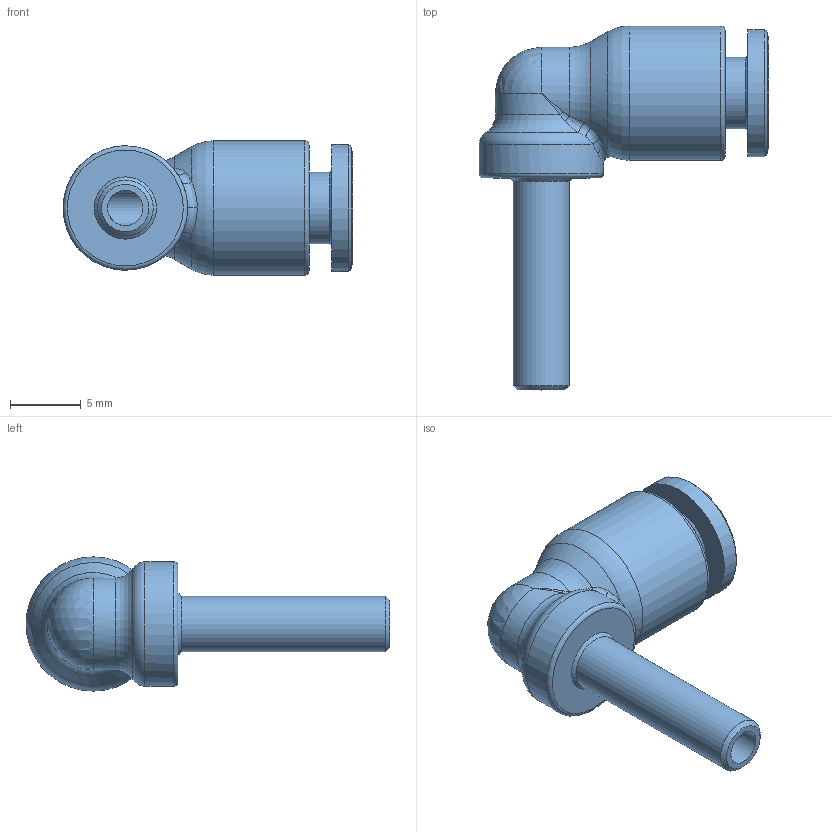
import cadquery as cq
import math


elbow_radius = 6.5 / 2

socket_radius = 9.5 / 2
socket_flare_start = 2.0
socket_flare_angle = math.radians(30)
socket_flare_bend = 3.0
socket_end = 13.0
socket_edge_round = 0.3

neck_radius = 5.05 / 2
neck_root_chamfer = 0.15
button_start = 14.6
button_radius = 9.0 / 2
button_face = 16.0
button_edge_chamfer = 0.2
button_lip_radius = 8.0 / 2
button_end = 16.1

collar_radius = 8.8 / 2
collar_flare_start = 1.55
collar_hollow_bend = 1.5
collar_shoulder_bend = 1.0
collar_end = 6.0
collar_edge_round = 0.3

tube_radius = 3.95 / 2
tube_end = 21.0
tube_tip_chamfer = 0.3
tube_root_radius = 4.4 / 2
tube_root_length = tube_root_radius - tube_radius
bore_radius = 2.5 / 2

negligible_slope = 1e-6

seam_round = 0.5
seam_margin = 0.01


def bend_point(center, radius, angle):
    """Point on an arc, with the angle measured from straight up towards the +X side."""
    return (center[0] + radius * math.sin(angle), center[1] + radius * math.cos(angle))


def add_flare(profile, start, small_radius, large_radius, hollow_bend, shoulder_bend, angle):
    """Continue a profile through a hollow bend, a straight slope and a shoulder bend."""
    rise = large_radius - small_radius
    bend_rise = (hollow_bend + shoulder_bend) * (1 - math.cos(angle))
    bend_length = (hollow_bend + shoulder_bend) * math.sin(angle)
    slope_rise = rise - bend_rise
    end = start + bend_length + slope_rise / math.tan(angle)
    hollow_center = (start, small_radius + hollow_bend)
    shoulder_center = (end, large_radius - shoulder_bend)
    slope_start = bend_point(hollow_center, hollow_bend, math.pi - angle)
    slope_end = bend_point(shoulder_center, shoulder_bend, -angle)
    hollow_middle = bend_point(hollow_center, hollow_bend, math.pi - angle / 2)
    shoulder_middle = bend_point(shoulder_center, shoulder_bend, -angle / 2)
    profile = profile.threePointArc(hollow_middle, slope_start)
    if slope_rise > negligible_slope:
        profile = profile.lineTo(*slope_end)
    return profile.threePointArc(shoulder_middle, (end, large_radius))


def revolve_about_x(profile):
    """Close a half profile along the X axis and turn it into a solid."""
    return profile.close().revolve(360, (0, 0, 0), (1, 0, 0))


def point_along_minus_y(arm):
    """Swing a shape built along +X round to -Y."""
    return arm.rotate((0, 0, 0), (0, 0, 1), -90)


def make_socket_arm():
    """Round arm along +X, flaring from the elbow to the socket barrel."""
    profile = cq.Workplane("XY").lineTo(0, elbow_radius).lineTo(socket_flare_start, elbow_radius)
    profile = add_flare(
        profile,
        socket_flare_start,
        elbow_radius,
        socket_radius,
        socket_flare_bend,
        socket_flare_bend,
        socket_flare_angle,
    )
    profile = profile.lineTo(socket_end, socket_radius).lineTo(socket_end, 0)
    return revolve_about_x(profile).faces(">X").edges().fillet(socket_edge_round)


def make_collar_arm():
    """Round arm along -Y, flaring from the elbow to the collar."""
    rise = collar_radius - elbow_radius
    angle = math.acos(1 - rise / (collar_hollow_bend + collar_shoulder_bend))
    profile = cq.Workplane("XY").lineTo(0, elbow_radius).lineTo(collar_flare_start, elbow_radius)
    profile = add_flare(
        profile,
        collar_flare_start,
        elbow_radius,
        collar_radius,
        collar_hollow_bend,
        collar_shoulder_bend,
        angle,
    )
    profile = profile.lineTo(collar_end, collar_radius).lineTo(collar_end, 0)
    arm = revolve_about_x(profile).faces(">X").edges().fillet(collar_edge_round)
    return point_along_minus_y(arm)


def make_body():
    """Both arms and the ball corner, with the inside seam between the arms rounded."""
    corner = cq.Workplane("XY").sphere(elbow_radius)
    body = make_socket_arm().union(make_collar_arm()).union(corner)
    seam_box = cq.selectors.BoxSelector(
        (seam_margin, -seam_margin, -elbow_radius),
        (collar_radius - seam_margin, -collar_radius, elbow_radius),
    )
    return body.edges(seam_box).fillet(seam_round)


def make_tube():
    """Stem tube with a conical root at the collar and a chamfered tip."""
    profile = (
        cq.Workplane("XY")
        .moveTo(collar_end, 0)
        .lineTo(collar_end, tube_root_radius)
        .lineTo(collar_end + tube_root_length, tube_radius)
        .lineTo(tube_end - tube_tip_chamfer, tube_radius)
        .lineTo(tube_end, tube_radius - tube_tip_chamfer)
        .lineTo(tube_end, 0)
    )
    return point_along_minus_y(revolve_about_x(profile))


def make_passage():
    """Right-angled bore from the tube tip, round the corner and out through the button."""
    stem_bore = cq.Workplane("YZ").circle(bore_radius).extrude(tube_end)
    socket_bore = cq.Workplane("YZ").workplane(offset=-bore_radius).circle(bore_radius)
    socket_bore = socket_bore.extrude(bore_radius + button_end)
    return socket_bore.union(point_along_minus_y(stem_bore))


def make_button():
    """Neck, flared root, button disc and raised lip turned as one profile."""
    profile = (
        cq.Workplane("XY")
        .moveTo(socket_end, 0)
        .lineTo(socket_end, neck_radius)
        .lineTo(button_start - neck_root_chamfer, neck_radius)
        .lineTo(button_start, neck_radius + neck_root_chamfer)
        .lineTo(button_start, button_radius)
        .lineTo(button_face - button_edge_chamfer, button_radius)
        .lineTo(button_face, button_radius - button_edge_chamfer)
        .lineTo(button_face, button_lip_radius)
        .lineTo(button_end, button_lip_radius)
        .lineTo(button_end, 0)
    )
    return revolve_about_x(profile)


result = make_body().union(make_button()).union(make_tube()).cut(make_passage())